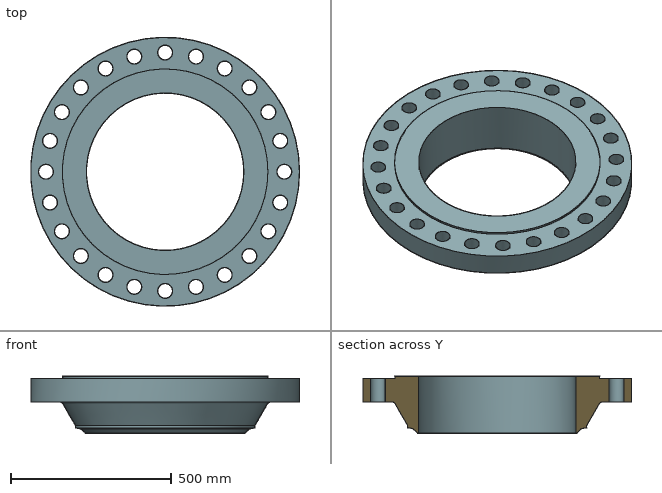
import cadquery as cq
import math

flange_radius = 419.0
flange_thickness = 74.0
bore_radius = 245.0

face_radius = 320.0
face_height = 7.0

total_height = 178.0
hub_angle = math.radians(30)
hub_fillet_radius = 14.0
hub_end_radius = 280.0
land_top = 24.0
land_bottom = 17.0
bevel_outer_radius = 263.0
bevel_outer_height = 13.0
weld_tip_radius = 248.0

bolt_count = 24
bolt_circle_radius = 371.0
bolt_hole_diameter = 45.0

flange_top = total_height - face_height
flange_bottom = flange_top - flange_thickness

corner_radius = hub_end_radius + (flange_bottom - land_top) * math.tan(hub_angle)
fillet_tangent = hub_fillet_radius * math.tan((math.pi / 2 - hub_angle) / 2)
fillet_outer_radius = corner_radius + fillet_tangent
taper_top_radius = corner_radius - fillet_tangent * math.sin(hub_angle)
taper_top = flange_bottom - fillet_tangent * math.cos(hub_angle)


def make_body():
    """Revolve the half section of the flange, hub and weld end about Z."""
    profile = (
        cq.Workplane("XZ")
        .moveTo(bore_radius, 0)
        .lineTo(weld_tip_radius, 0)
        .lineTo(bevel_outer_radius, bevel_outer_height)
        .lineTo(hub_end_radius, land_bottom)
        .lineTo(hub_end_radius, land_top)
        .lineTo(taper_top_radius, taper_top)
        .tangentArcPoint((fillet_outer_radius, flange_bottom), relative=False)
        .lineTo(flange_radius, flange_bottom)
        .lineTo(flange_radius, flange_top)
        .lineTo(face_radius, flange_top)
        .lineTo(face_radius, total_height)
        .lineTo(bore_radius, total_height)
        .close()
    )
    return profile.revolve(360, (0, 0, 0), (0, 1, 0))


def make_bolt_holes():
    """Ring of through-hole cutters, the first one on the +X axis."""
    return (
        cq.Workplane("XY")
        .workplane(offset=flange_bottom)
        .polarArray(bolt_circle_radius, 0, 360, bolt_count)
        .circle(bolt_hole_diameter / 2)
        .extrude(flange_thickness)
    )


result = make_body().cut(make_bolt_holes())